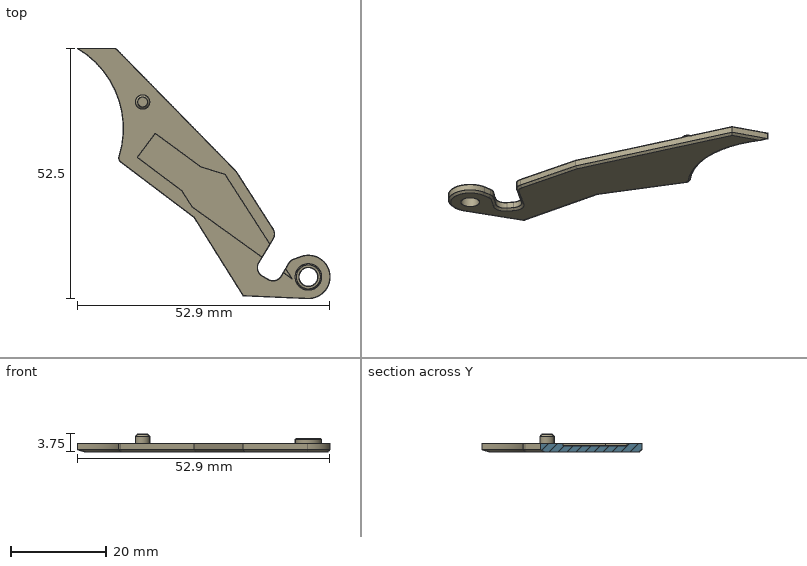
import cadquery as cq
import math

plate_thickness = 1.8
underside_chamfer = 0.5

eyelet_radius = 4.55
bore_diameter = 3.9
bush_diameter = 5.55
bush_height = 1.05
bush_chamfer = 0.25

pin_center = (-34.75, 36.65)
pin_diameter = 3.0
pin_height = 1.95
pin_chamfer = 0.5

pocket_depth = 0.5

tip = (-48.4, 47.9)
top_corner = (-40.35, 47.9)
back_bend = (-15.15, 22.15)
shoulder = (-6.7, 9.0)
bottom_corner = (-13.65, -3.95)
belly_bend = (-23.95, 12.45)
heel = (-39.95, 24.5)
finger_arc_middle = (-40.55, 39.2)

notch_floor_left = (-11.45, 1.2)
notch_width = 5.5
notch_angle = 60
notch_right_wall = 5.75

corner_radius = 2.0
heel_radius = 1.0

pocket_outline = [
    (-32.1, 30.1),
    (-22.5, 23.05),
    (-17.5, 21.5),
    (-3.4, -0.4),
    (-24.35, 14.65),
    (-26.55, 18.05),
    (-35.85, 25.05),
]


def offset_point(start, distance, angle):
    """Point at a distance from start along a direction in degrees."""
    turn = math.radians(angle)
    return (start[0] + distance * math.cos(turn), start[1] + distance * math.sin(turn))


def eyelet_tangent_point(point, side):
    """Point where a line from an outside point touches the eyelet rim; side is +1 or -1."""
    bearing = math.atan2(point[1], point[0])
    spread = math.acos(eyelet_radius / math.hypot(*point))
    return offset_point((0, 0), eyelet_radius, math.degrees(bearing + side * spread))


notch_floor_right = offset_point(notch_floor_left, notch_width, notch_angle - 90)
notch_lip = offset_point(notch_floor_right, notch_right_wall, notch_angle)


def round_corner(body, point, radius):
    """Round the upright edge that stands at the given point."""
    reach = 0.025
    box = cq.selectors.BoxSelector(
        (point[0] - reach, point[1] - reach, -0.55),
        (point[0] + reach, point[1] + reach, plate_thickness + 0.55),
    )
    return body.edges("|Z").edges(box).fillet(radius)


def make_plate():
    body = (
        cq.Workplane("XY")
        .moveTo(*tip)
        .lineTo(*top_corner)
        .lineTo(*back_bend)
        .lineTo(*shoulder)
        .lineTo(*notch_floor_left)
        .lineTo(*notch_floor_right)
        .lineTo(*notch_lip)
        .lineTo(*eyelet_tangent_point(notch_lip, -1))
        .threePointArc((eyelet_radius, 0), eyelet_tangent_point(bottom_corner, 1))
        .lineTo(*bottom_corner)
        .lineTo(*belly_bend)
        .lineTo(*heel)
        .threePointArc(finger_arc_middle, tip)
        .close()
        .extrude(plate_thickness)
    )
    for corner in (shoulder, notch_floor_left, notch_floor_right, notch_lip):
        body = round_corner(body, corner, corner_radius)
    body = round_corner(body, heel, heel_radius)
    return body.faces("<Z").chamfer(underside_chamfer)


def make_stud(center, diameter, height, chamfer):
    """Round stud with a chamfered top rim, rooted halfway down the plate."""
    root = plate_thickness / 2
    return (
        cq.Workplane("XY")
        .workplane(offset=root)
        .center(*center)
        .circle(diameter / 2)
        .extrude(plate_thickness - root + height)
        .faces(">Z")
        .chamfer(chamfer)
    )


pocket = (
    cq.Workplane("XY")
    .workplane(offset=plate_thickness - pocket_depth)
    .polyline(pocket_outline)
    .close()
    .extrude(pocket_depth)
)
pin = make_stud(pin_center, pin_diameter, pin_height, pin_chamfer)
bush = make_stud((0, 0), bush_diameter, bush_height, bush_chamfer)
bore = cq.Workplane("XY").circle(bore_diameter / 2).extrude(plate_thickness + bush_height)

result = make_plate().cut(pocket).union(pin).union(bush).cut(bore)